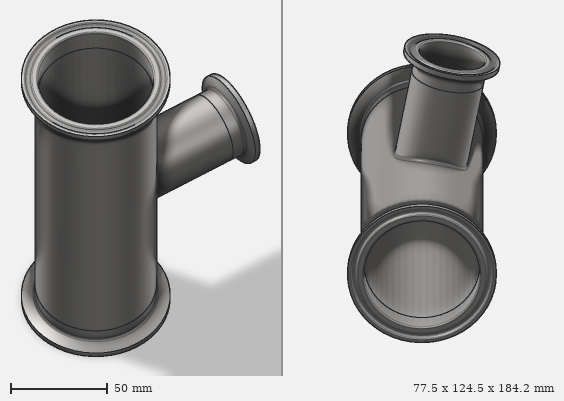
import cadquery as cq
import math

run_length = 184.2
branch_reach = 85.7
wall = 1.65

run_tube_diameter = 63.5
run_flange_diameter = 77.5
branch_tube_diameter = 38.1
branch_flange_diameter = 50.5
crotch_fillet = 1.7

ferrule_length = 12.7
rim_thickness = 2.95
cone_angle = 20.0
neck_fillet = 1.5
mouth_fillet = 0.8
groove_inset = 3.5
groove_floor_radius = 1.5
groove_edge_radius = 0.8
groove_flank_angle = 60.0

run_joint = run_length / 2 - ferrule_length
branch_joint = branch_reach - ferrule_length


def make_tee():
    """Run tube and branch tube in one piece, both bored through and open to each other."""
    run = cq.Workplane("XY").circle(run_tube_diameter / 2).extrude(run_joint, both=True)
    branch = cq.Workplane("XZ").circle(branch_tube_diameter / 2).extrude(-branch_joint)
    outside = run.union(branch)

    crotch_zone = cq.selectors.BoxSelector(
        (-crotch_fillet, 0, -crotch_fillet),
        (crotch_fillet, run_tube_diameter / 2, crotch_fillet),
    )
    outside = outside.edges(crotch_zone).fillet(crotch_fillet)

    run_bore = cq.Workplane("XY").circle(run_tube_diameter / 2 - wall).extrude(run_joint, both=True)
    branch_bore = cq.Workplane("XZ").circle(branch_tube_diameter / 2 - wall).extrude(-branch_joint)
    return outside.cut(run_bore).cut(branch_bore)


def make_ferrule(tube_diameter, flange_diameter):
    """Clamp ferrule on Z with its joint at z = 0 and its sealing face at z = ferrule_length."""
    tube_radius = tube_diameter / 2
    bore_radius = tube_radius - wall
    rim_radius = flange_diameter / 2
    rim_back = ferrule_length - rim_thickness
    cone_foot = rim_back - (rim_radius - tube_radius) * math.tan(math.radians(cone_angle))
    ferrule = (
        cq.Workplane("XZ")
        .moveTo(bore_radius, 0)
        .lineTo(tube_radius, 0)
        .lineTo(tube_radius, cone_foot)
        .lineTo(rim_radius, rim_back)
        .lineTo(rim_radius, ferrule_length)
        .lineTo(bore_radius, ferrule_length)
        .close()
        .revolve(360, (0, 0, 0), (0, 1, 0))
    )
    neck = cq.selectors.BoxSelector(
        (-rim_radius, -rim_radius, cone_foot - neck_fillet),
        (rim_radius, rim_radius, cone_foot + neck_fillet),
    )
    ferrule = ferrule.edges("%CIRCLE").edges(neck).fillet(neck_fillet)
    ferrule = ferrule.faces(">Z").edges(cq.selectors.RadiusNthSelector(0)).fillet(mouth_fillet)
    return ferrule.cut(make_groove(rim_radius - groove_inset))


def make_groove(groove_radius):
    """Ring to cut from the sealing face: a round floor that runs smoothly into rounded edges."""
    flank = math.radians(groove_flank_angle)
    floor_half_width = groove_floor_radius * math.sin(flank)
    groove_half_width = floor_half_width + groove_edge_radius * math.sin(flank)
    flank_z = ferrule_length - groove_edge_radius * (1 - math.cos(flank))
    floor_z = flank_z - groove_floor_radius * (1 - math.cos(flank))
    return (
        cq.Workplane("XZ")
        .moveTo(groove_radius - groove_half_width, ferrule_length)
        .radiusArc((groove_radius - floor_half_width, flank_z), groove_edge_radius)
        .threePointArc((groove_radius, floor_z), (groove_radius + floor_half_width, flank_z))
        .radiusArc((groove_radius + groove_half_width, ferrule_length), groove_edge_radius)
        .close()
        .revolve(360, (0, 0, 0), (0, 1, 0))
    )


tee = make_tee()

run_ferrules = []
for flip in (0, 180):
    ferrule = make_ferrule(run_tube_diameter, run_flange_diameter).translate((0, 0, run_joint))
    run_ferrules.append(ferrule.rotate((0, 0, 0), (1, 0, 0), flip))

branch_ferrule = (
    make_ferrule(branch_tube_diameter, branch_flange_diameter)
    .translate((0, 0, branch_joint))
    .rotate((0, 0, 0), (1, 0, 0), -90)
)

result = cq.Compound.makeCompound(
    [tee.val(), *[ferrule.val() for ferrule in run_ferrules], branch_ferrule.val()]
)